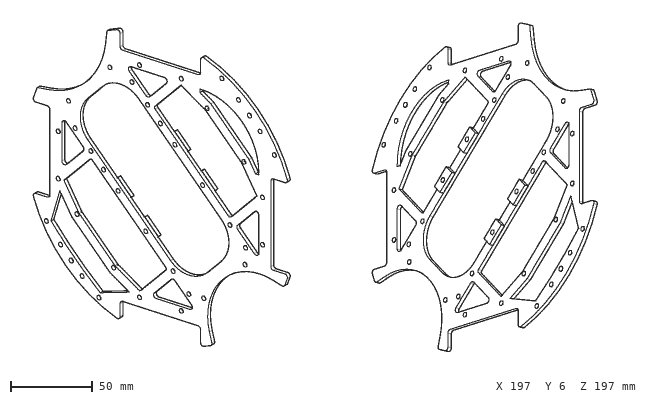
import cadquery as cq
import math


ROOT2 = math.sqrt(2)

plate_thickness = 3.0
disc_radius = 104.0
side_reach = 85.7
side_half_width = 31.1
outline_fillet = 2.0
rim_tolerance = 0.02
beyond_disc = 157.6

upper_neck_centre = 130.5
upper_neck_radius = 50.0
upper_neck_half_angle = 38
lower_neck_centre = 108.8
lower_neck_radius = 40.2
lower_neck_half_angle = 60

rail_centre = 31.1
rail_width = 6.7
rail_inner = rail_centre - rail_width / 2
rail_outer = rail_centre + rail_width / 2
window_top = 71.7
window_bottom = -59.1
window_fillet = 20.0

spoke_inner = 41.5
spoke_outer = 48.3
triangle_reach = 76.3
triangle_fillet = 2.0

rib_inner = 69.4
rib_inner_bend = 19.7
rib_outer = 76.3
rib_outer_bend = 20.9
rib_slope = 0.24
bay_fillet = 1.4
crescent_side = 30.7
crescent_radius = 44.3
rim_window_tip = 38.0
rim_window_corner = (-92.8, 27.0)
rim_window_depth = -94.0

pad_length = 14.8
pad_width = 7.0
pad_height = 3.0
pad_offset = 14.8
hole_diameter = 3.0
diagonal_hole_diameter = 3.2

front = cq.Plane(origin=(0, 0, 0), xDir=(1, 0, 0), normal=(0, -1, 0))
diagonal = cq.Plane(origin=(0, 0, 0), xDir=(1, 0, 1), normal=(0, -1, 0))


def to_diagonal(x, z):
    """Turn X, Z into p, q."""
    return ((x + z) / ROOT2, (z - x) / ROOT2)


def cutter(outline):
    """Full-thickness solid of a closed outline."""
    return outline.close().extrude(plate_thickness)


def polygon_cutter(points):
    return cutter(cq.Workplane(diagonal).polyline(points))


def side_notch(angle):
    """Rectangular notch that leaves one flat side of the frame."""
    depth = beyond_disc - side_reach
    notch = (
        cq.Workplane(front)
        .center(0, side_reach + depth / 2)
        .rect(2 * side_half_width, depth)
        .extrude(plate_thickness)
        .edges("|Y")
        .fillet(outline_fillet)
    )
    return notch.rotate((0, 0, 0), (0, 1, 0), angle)


def rim_opening(side, centre_distance, radius, half_angle):
    """Arc bitten out of the rim on the q axis, continued by tangent lines past half_angle."""
    sine = math.sin(math.radians(half_angle))
    cosine = math.cos(math.radians(half_angle))
    arc_p = radius * sine
    arc_q = centre_distance - radius * cosine
    run = (beyond_disc - arc_q) / sine
    end_p = arc_p + run * cosine
    return cutter(
        cq.Workplane(diagonal)
        .moveTo(-end_p, side * beyond_disc)
        .lineTo(-arc_p, side * arc_q)
        .threePointArc((0, side * (centre_distance - radius)), (arc_p, side * arc_q))
        .lineTo(end_p, side * beyond_disc)
    )


def central_window():
    height = window_top - window_bottom
    return (
        cq.Workplane(diagonal)
        .center(0, (window_top + window_bottom) / 2)
        .rect(2 * rail_inner, height)
        .extrude(plate_thickness)
        .edges("|Y")
        .fillet(window_fillet)
    )


def triangle_window(p_side, q_side):
    diagonal_sum = triangle_reach * ROOT2
    corners = [
        (rail_outer, spoke_outer),
        (rail_outer, diagonal_sum - rail_outer),
        (diagonal_sum - spoke_outer, spoke_outer),
    ]
    points = [(p_side * p, q_side * q) for p, q in corners]
    return polygon_cutter(points).edges("|Y").fillet(triangle_fillet)


def bay_window(p_side):
    """Window between a rail, two spokes and the bent rib."""
    tip = rib_inner - rib_slope * (spoke_inner - rib_inner_bend)
    half = [(rail_outer, spoke_inner), (tip, spoke_inner), (rib_inner, rib_inner_bend)]
    corners = half + [(p, -q) for p, q in reversed(half)]
    bay = polygon_cutter([(p_side * p, q) for p, q in corners])
    rail_face = bay.faces(cq.selectors.DirectionMinMaxSelector(cq.Vector(p_side, 0, p_side), False))
    return rail_face.edges("|Y").fillet(bay_fillet)


def crescent_window():
    """Window between the +p rib and the rim, with an arc tangent to the frame sides."""
    arc_centre = triangle_reach - crescent_radius
    end_gap = crescent_side * ROOT2
    end_q = (rib_outer + rib_slope * rib_outer_bend - end_gap) / (1 + rib_slope)
    end_p = end_q + end_gap
    corner_p, corner_q = to_diagonal(crescent_side, triangle_reach)
    arc_p, arc_q = to_diagonal(arc_centre, triangle_reach)
    return cutter(
        cq.Workplane(diagonal)
        .moveTo(rib_outer, -rib_outer_bend)
        .lineTo(rib_outer, rib_outer_bend)
        .lineTo(end_p, end_q)
        .lineTo(corner_p, corner_q)
        .lineTo(arc_p, arc_q)
        .threePointArc((arc_centre * ROOT2 + crescent_radius, 0), (arc_p, -arc_q))
        .lineTo(corner_p, -corner_q)
        .lineTo(end_p, -end_q)
    )


def rim_window():
    """Window between the -p rib and the rim."""
    tip_p = -rib_outer + rib_slope * (rim_window_tip - rib_outer_bend)
    corner_p, corner_q = rim_window_corner
    return cutter(
        cq.Workplane(diagonal)
        .moveTo(-rib_outer, -rib_outer_bend)
        .lineTo(-rib_outer, rib_outer_bend)
        .lineTo(tip_p, rim_window_tip)
        .lineTo(corner_p, corner_q)
        .threePointArc((rim_window_depth, 0), (corner_p, -corner_q))
        .lineTo(tip_p, -rim_window_tip)
    )


def holes(places, diameter):
    """Through holes, passing the pads too, at the given places and mirrored to -p."""
    mirrored = [(-p, q) for p, q in places]
    start = cq.Workplane(diagonal).workplane(offset=-pad_height)
    return start.pushPoints(places + mirrored).circle(diameter / 2).extrude(plate_thickness + pad_height)


plate = cq.Workplane(front).circle(disc_radius).extrude(plate_thickness)
for angle in (0, 90, 180, 270):
    plate = plate.cut(side_notch(angle))
plate = plate.cut(rim_opening(-1, lower_neck_centre, lower_neck_radius, lower_neck_half_angle))
rim_corners = plate.edges("|Y").filter(
    lambda edge: math.hypot(edge.Center().x, edge.Center().z) > disc_radius - rim_tolerance
)
plate = rim_corners.fillet(outline_fillet)
plate = plate.cut(rim_opening(1, upper_neck_centre, upper_neck_radius, upper_neck_half_angle))

plate = plate.cut(central_window())
for p_side in (-1, 1):
    plate = plate.cut(bay_window(p_side))
    for q_side in (-1, 1):
        plate = plate.cut(triangle_window(p_side, q_side))
plate = plate.cut(crescent_window()).cut(rim_window())

pad_places = [(p, q) for p in (-rail_centre, rail_centre) for q in (-pad_offset, pad_offset)]
pads = cq.Workplane(diagonal).pushPoints(pad_places).rect(pad_width, pad_length).extrude(-pad_height)
plate = plate.union(pads)

rail_hole_places = [(rail_centre, q) for q in (-62.3, -45.1, -15.2, 15.2, 31.1, 45.1, 62.3)]
neck_hole_places = [(22.7, 78.0), (22.7, -70.1)]
rib_hole_places = [(71.3, -20.0), (71.3, 20.0)]
rim_hole_places = [(p, side * q) for p, q in ((96.2, 28.8), (97.5, 11.8)) for side in (-1, 1)]
side_hole_places = [
    to_diagonal(x, z) for x, z in ((16.2, 79.2), (-16.2, 79.2), (79.2, 16.2), (79.2, -16.2))
]
hole_places = rail_hole_places + neck_hole_places + rib_hole_places + rim_hole_places + side_hole_places
diagonal_hole_places = [(97.7, 0)]

plate = plate.cut(holes(hole_places, hole_diameter))
result = plate.cut(holes(diagonal_hole_places, diagonal_hole_diameter))